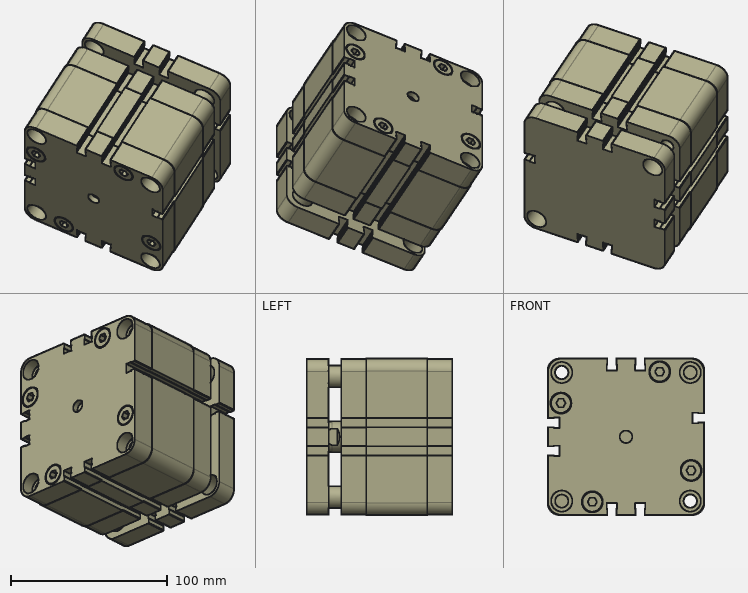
import cadquery as cq
import math


cap_length = 16.0
body_length = 39.0
gap_length = 8.0
plate_length = 14.0
front_cap_end = cap_length
body_end = front_cap_end + body_length
rear_cap_end = body_end + cap_length
plate_start = rear_cap_end + gap_length
length = plate_start + plate_length

cut_clearance = 1.0

body_width = 100.0
cap_inset = 0.3
cap_width = body_width - 2 * cap_inset
corner_radius = 8.0

slot_mouth_width = 5.7
slot_inner_width = 6.5
slot_lip_depth = 3.7
slot_depth = 7.5
slot_lip_chamfer = 0.4
slot_pair_offset = 9.0
single_slot_offset = 12.0
slot_offsets = {
    0: (-slot_pair_offset, slot_pair_offset),
    90: (-single_slot_offset,),
    180: (-slot_pair_offset, slot_pair_offset),
    270: (-slot_pair_offset, slot_pair_offset),
}

mount_offset = 41.0
mount_hole_diameter = 8.38
mount_bore_diameter = 13.5
mount_bore_depth = 8.5
plate_hole_diameter = 13.5

screw_long_offset = 41.5
screw_short_offset = 21.5
screw_head_diameter = 12.5
screw_recess_diameter = 13.5
screw_gap_depth = 8.0
hex_across_flats = 5.2
hex_depth = 5.0

port_diameter = 8.0
port_depth = 4.0

pin_diameter = 14.0
pin_offset = 38.5

rod_diameter = 20.0
rod_flat_width = 17.0
rod_flat_length = 5.5
rod_taper_length = 1.9
rod_taper_depth = 0.5


def workplane_at(y):
    """XZ plane at position y, with local axes +X and +Z, extruding towards -Y."""
    return cq.Workplane("XZ", origin=(0, y, 0))


def cylinder(x, z, diameter, start, end):
    return workplane_at(end).center(x, z).circle(diameter / 2).extrude(end - start)


def slot_cutter(width, start, end, chamfer):
    """T-slot opening through the +Z side of a square of the given width."""
    side = width / 2
    mouth = slot_mouth_width / 2
    inner = slot_inner_width / 2
    lip = side - slot_lip_depth
    outline = [(inner, side - slot_depth), (inner, lip), (mouth, lip)]
    if chamfer > 0:
        outline += [(mouth, side - chamfer), (mouth + chamfer, side)]
    outline.append((outline[-1][0], side + cut_clearance))
    mirrored = [(-x, z) for x, z in reversed(outline)]
    return workplane_at(end).polyline(outline + mirrored).close().extrude(end - start)


def slotted_block(width, start, end, chamfer):
    """Rounded square block with the sensor slots along its full length."""
    block = workplane_at(end).rect(width, width).extrude(end - start)
    block = block.edges("|Y").fillet(corner_radius)
    cutter = slot_cutter(width, start, end, chamfer)
    for angle, offsets in slot_offsets.items():
        for offset in offsets:
            placed = cutter.translate((offset, 0, 0))
            block = block.cut(placed.rotate((0, 0, 0), (0, 1, 0), angle))
    return block


def piston_rod():
    """Rod across the gap, tapered at the plate, with two wrench flats that ramp out at 45 degrees."""
    rod = cylinder(0, 0, rod_diameter, rear_cap_end, plate_start)
    rod = rod.faces(">Y").chamfer(rod_taper_length, rod_taper_depth)
    rod_radius = rod_diameter / 2
    flat_x = rod_flat_width / 2
    flat_end = plate_start - rod_flat_length
    clear_x = rod_radius + cut_clearance
    ramp_end = flat_end - (clear_x - flat_x)
    flat = (
        cq.Workplane("XY", origin=(0, 0, -rod_radius))
        .polyline([(flat_x, plate_start), (flat_x, flat_end), (clear_x, ramp_end), (clear_x, plate_start)])
        .close()
        .extrude(rod_diameter)
    )
    return rod.cut(flat).cut(flat.mirror("YZ"))


def add_guide_pins(part):
    for side in (-1, 1):
        place = side * pin_offset
        part = part.union(cylinder(place, place, pin_diameter, rear_cap_end, plate_start))
    return part


def cut_mounting_holes(part):
    """Counterbored hole in each corner: blind ahead of the guide pins, right through elsewhere."""
    for side_x in (-1, 1):
        for side_z in (-1, 1):
            x = side_x * mount_offset
            z = side_z * mount_offset
            faces_pin = side_x == side_z
            hole_end = body_end if faces_pin else rear_cap_end
            part = part.cut(cylinder(x, z, mount_bore_diameter, 0, mount_bore_depth))
            part = part.cut(cylinder(x, z, mount_hole_diameter, 0, hole_end))
            if not faces_pin:
                part = part.cut(cylinder(x, z, plate_hole_diameter, plate_start, length))
    return part


def cut_cover_screws(part):
    """Ring gap and hexagon socket of each of the four flush cover screws."""
    recess = cylinder(0, 0, screw_recess_diameter, 0, screw_gap_depth)
    ring = recess.cut(cylinder(0, 0, screw_head_diameter, 0, screw_gap_depth))
    hex_across_corners = hex_across_flats / math.cos(math.pi / 6)
    hexagon = workplane_at(hex_depth).polygon(6, hex_across_corners).extrude(hex_depth)
    places = [
        (screw_short_offset, screw_long_offset),
        (screw_long_offset, -screw_short_offset),
        (-screw_short_offset, -screw_long_offset),
        (-screw_long_offset, screw_short_offset),
    ]
    for x, z in places:
        part = part.cut(ring.translate((x, 0, z))).cut(hexagon.translate((x, 0, z)))
    return part


front_cap = slotted_block(cap_width, 0, front_cap_end, slot_lip_chamfer)
body = slotted_block(body_width, front_cap_end, body_end, 0)
rear_cap = slotted_block(cap_width, body_end, rear_cap_end, slot_lip_chamfer)
plate = slotted_block(cap_width, plate_start, length, slot_lip_chamfer)

result = front_cap.union(body).union(rear_cap).union(plate).union(piston_rod())
result = add_guide_pins(result)
result = cut_mounting_holes(result)
result = cut_cover_screws(result)
result = result.cut(cylinder(0, 0, port_diameter, 0, port_depth))